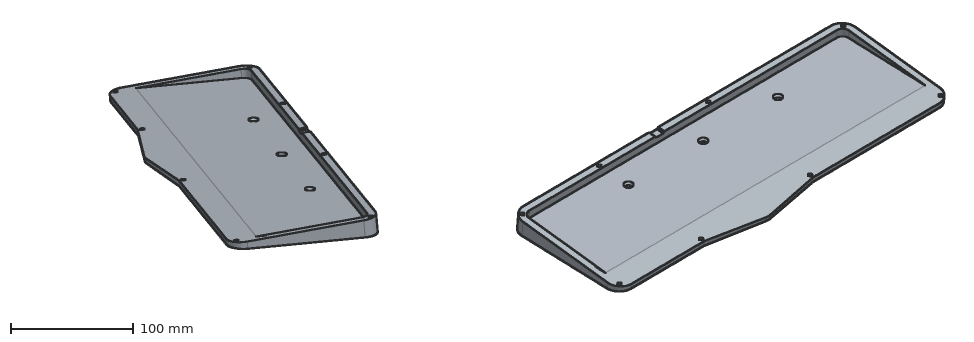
import cadquery as cq
import math

WIDTH = 379.0
DEPTH = 139.5
HEIGHT = 16.3
TILT = 5.0
CORNER_RADIUS = 14.0

POINT_X = 159.0
POINT_HALF_WIDTH = 62.0
POINT_REACH = 11.5
POINT_RADIUS = 15.0

RIM = 7.2
POCKET_FRONT = 35.0

SCREW_DIAMETER = 3.5
CORNER_SCREW_INSET = 6.5
MIDDLE_SCREW_INSET = 3.8

FLOOR_HOLE_DIAMETER = 4.0
COUNTERSINK_DIAMETER = 8.5
COUNTERSINK_ANGLE = 90.0
FLOOR_HOLE_SPACING = 85.3
FLOOR_HOLE_Y = 107.5

NOTCH_X = 162.5
NOTCH_TOP_WIDTH = 10.2
NOTCH_FLOOR_WIDTH = 8.0
NOTCH_DEPTH = 1.5

slope = math.tan(math.radians(TILT))
top_run = DEPTH - HEIGHT * slope
back_edge = top_run / math.cos(math.radians(TILT))
tip_height = HEIGHT - top_run * slope
floor_height = tip_height + POCKET_FRONT * slope
point_left = POINT_X - POINT_HALF_WIDTH
point_right = POINT_X + POINT_HALF_WIDTH
cut_depth = 2 * HEIGHT

top_plane = cq.Plane(
    origin=(0, 0, tip_height),
    xDir=(1, 0, 0),
    normal=(0, -math.sin(math.radians(TILT)), math.cos(math.radians(TILT))),
)


def space_above(height):
    """Large block whose level underside is at the given height."""
    margin = WIDTH
    return (
        cq.Workplane("XY", origin=(WIDTH / 2, DEPTH / 2, height))
        .rect(WIDTH + margin, DEPTH + margin)
        .extrude(margin)
    )


def rounded_slab(inset, radius):
    """Tilted rectangular slab set in from the case sides, with rounded upright edges."""
    straight_depth = back_edge - POINT_REACH
    outline = (
        cq.Sketch()
        .rect(WIDTH - 2 * inset, straight_depth - 2 * inset)
        .vertices()
        .fillet(radius)
    )
    return (
        cq.Workplane(top_plane)
        .center(WIDTH / 2, POINT_REACH + straight_depth / 2)
        .placeSketch(outline)
        .extrude(-cut_depth)
    )


def front_point():
    """Blunt triangle that carries the front edge forward."""
    half_angle = math.atan2(POINT_REACH, POINT_HALF_WIDTH)
    tangent_x = POINT_RADIUS * math.sin(half_angle)
    tangent_y = POINT_RADIUS * (1 - math.cos(half_angle))
    return (
        cq.Workplane(top_plane)
        .moveTo(point_left, POINT_REACH)
        .lineTo(POINT_X - tangent_x, tangent_y)
        .threePointArc((POINT_X, 0), (POINT_X + tangent_x, tangent_y))
        .lineTo(point_right, POINT_REACH)
        .lineTo(point_right, POCKET_FRONT)
        .lineTo(point_left, POCKET_FRONT)
        .close()
        .extrude(-cut_depth)
    )


def pocket():
    """Everything inside the rim that lies above the level floor."""
    return rounded_slab(RIM, CORNER_RADIUS - RIM).intersect(space_above(floor_height))


def screw_holes():
    corner_xs = (CORNER_SCREW_INSET, WIDTH - CORNER_SCREW_INSET)
    rows = (
        (corner_xs, CORNER_SCREW_INSET),
        ((point_left, point_right), MIDDLE_SCREW_INSET),
    )
    centres = []
    for xs, inset in rows:
        for x in xs:
            centres.append((x, POINT_REACH + inset))
            centres.append((x, back_edge - inset))
    return (
        cq.Workplane(top_plane)
        .pushPoints(centres)
        .circle(SCREW_DIAMETER / 2)
        .extrude(-cut_depth)
    )


def notch():
    """Shallow channel with sloping sides, running front to back through the rim."""
    top_half = NOTCH_TOP_WIDTH / 2
    floor_half = NOTCH_FLOOR_WIDTH / 2
    rim_middle = back_edge - RIM / 2
    channel_plane = cq.Plane(
        origin=top_plane.toWorldCoords((NOTCH_X, rim_middle, 0)),
        xDir=top_plane.xDir,
        normal=-top_plane.yDir,
    )
    return (
        cq.Workplane(channel_plane)
        .moveTo(-top_half, 0)
        .lineTo(-floor_half, -NOTCH_DEPTH)
        .lineTo(floor_half, -NOTCH_DEPTH)
        .lineTo(top_half, 0)
        .close()
        .extrude(RIM, both=True)
    )


floor_hole_points = [(WIDTH / 2 + i * FLOOR_HOLE_SPACING, FLOOR_HOLE_Y) for i in (-1, 0, 1)]

body = rounded_slab(0, CORNER_RADIUS).union(front_point()).intersect(space_above(0))
body = body.cut(pocket()).cut(screw_holes()).cut(notch())
result = (
    body.copyWorkplane(cq.Workplane("XY", origin=(0, 0, floor_height)))
    .pushPoints(floor_hole_points)
    .cskHole(FLOOR_HOLE_DIAMETER, COUNTERSINK_DIAMETER, COUNTERSINK_ANGLE)
)